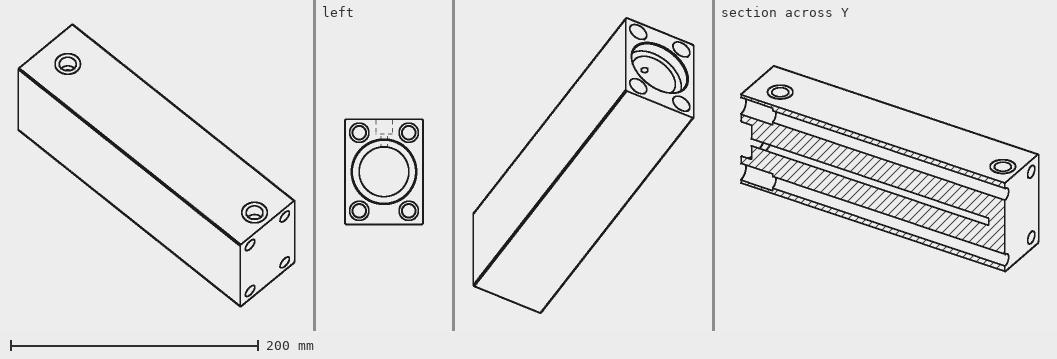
import cadquery as cq

length = 251.0
width = 63.0
height = 85.0
edge_chamfer = 1.0

bore_diameter = 40.2
bore_depth = 235.0
seat_diameter = 51.2
seat_depth = 10.0
seat_chamfer = 0.8

bolt_spacing_y = 40.0
bolt_spacing_z = 63.0
bolt_diameter = 10.8
bolt_head_diameter = 15.5
bolt_head_depth = 30.0

port_inset_front = 25.0
port_inset_back = 14.5
port_face_diameter = 20.5
port_face_depth = 0.3
port_thread_diameter = 13.5
port_thread_depth = 12.0
port_feed_diameter = 5.5
port_feed_overlap = 0.3


def cylinder_along_x(diameter, depth, y=0, z=0):
    """Cylinder starting at the -X end face of the block."""
    return cq.Workplane("YZ").center(y, z).circle(diameter / 2).extrude(depth)


def cylinder_down(diameter, depth, x):
    """Cylinder reaching down from the top face of the block."""
    top_plane = cq.Workplane("XY", origin=(x, 0, height / 2))
    return top_plane.circle(diameter / 2).extrude(-depth)


def make_block():
    block = cq.Workplane("XY").box(length, width, height).translate((length / 2, 0, 0))
    return block.edges("|X").chamfer(edge_chamfer)


def make_bore():
    seat = cylinder_along_x(seat_diameter, seat_depth)
    mouth = cq.Workplane("YZ").circle(seat_diameter / 2 + seat_chamfer).extrude(seat_chamfer, taper=45)
    return cylinder_along_x(bore_diameter, bore_depth).union(seat).union(mouth)


def make_bolt_hole(y, z):
    shank = cylinder_along_x(bolt_diameter, length, y, z)
    head = cylinder_along_x(bolt_head_diameter, bolt_head_depth, y, z)
    return shank.union(head)


def make_port(x):
    spot_face = cylinder_down(port_face_diameter, port_face_depth, x)
    thread = cylinder_down(port_thread_diameter, port_thread_depth, x)
    feed_depth = (height - bore_diameter) / 2 + port_feed_overlap
    feed = cylinder_down(port_feed_diameter, feed_depth, x)
    return spot_face.union(thread).union(feed)


result = make_block().cut(make_bore())

for side_y in (-1, 1):
    for side_z in (-1, 1):
        bolt_hole = make_bolt_hole(side_y * bolt_spacing_y / 2, side_z * bolt_spacing_z / 2)
        result = result.cut(bolt_hole)

for port_x in (port_inset_front, length - port_inset_back):
    result = result.cut(make_port(port_x))